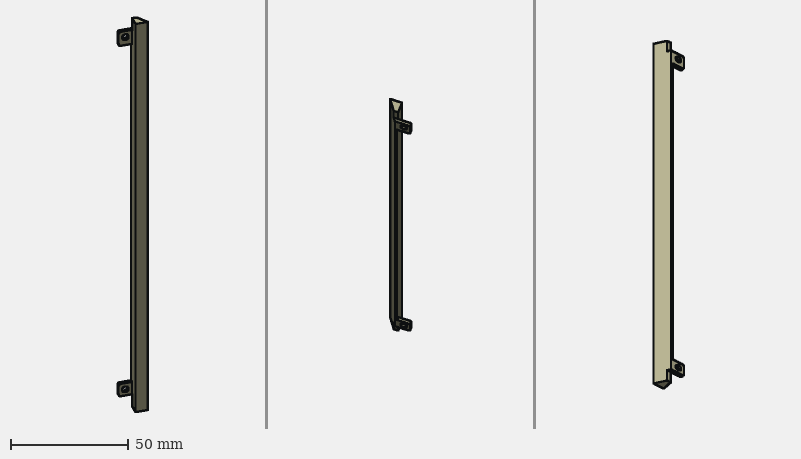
import cadquery as cq

length = 196.0
width = 6.5
depth = 11.5
wedge_depth = 5.5
slope_drop = 4.5

flange_thickness = 1.5
end_setback = 6.0

upper_tab_height = 7.1
lower_tab_height = 6.25
tab_corner_radius = 1.0
hole_diameter = 2.8
hole_end_offset = 3.1
hole_edge_offset = 3.0

wedge_base_y = depth - wedge_depth
flange_bottom = end_setback
flange_top = length - end_setback


def make_bar():
    """Wedge-section bar running the full length."""
    return (
        cq.Workplane("XY")
        .moveTo(0, wedge_base_y)
        .lineTo(width, wedge_base_y)
        .lineTo(width, depth)
        .lineTo(0, depth - slope_drop)
        .close()
        .extrude(length)
    )


def make_end_relief(z_start):
    """Block that removes the flange strip at one end of the bar."""
    return (
        cq.Workplane("XY")
        .box(flange_thickness, depth, end_setback, centered=False)
        .translate((0, 0, z_start))
    )


def make_tab(z_start, height, hole_z):
    """Flat tab with rounded free corners and a screw hole through X."""
    hole = (
        cq.Workplane("YZ")
        .center(hole_edge_offset, hole_z)
        .circle(hole_diameter / 2)
        .extrude(flange_thickness)
    )
    return (
        cq.Workplane("XY")
        .box(flange_thickness, wedge_base_y, height, centered=False)
        .edges("|X and <Y")
        .fillet(tab_corner_radius)
        .translate((0, 0, z_start))
        .cut(hole)
    )


bar = make_bar().cut(make_end_relief(0)).cut(make_end_relief(flange_top))
lower_tab = make_tab(flange_bottom, lower_tab_height, flange_bottom + hole_end_offset)
upper_tab = make_tab(flange_top - upper_tab_height, upper_tab_height, flange_top - hole_end_offset)

result = bar.union(lower_tab).union(upper_tab)